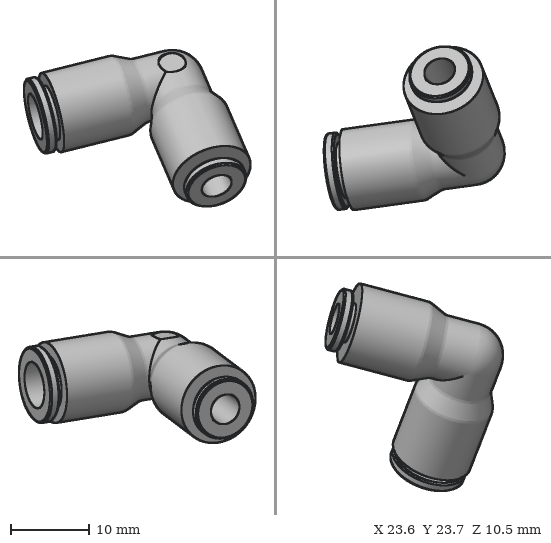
import cadquery as cq

overall_x = 23.58
overall_y = 23.7
body_radius = 10.5 / 2
elbow_radius = 4.17
flare_start = 4.48
flare_end = 6.92
flare_blend = 0.92
body_end = 16.28

x_collar_start = 17.02
x_collar_end = overall_x - body_radius
x_collar_radius = 4.05
x_stem_radius = 2.58
y_collar_start = 17.1
y_collar_end = overall_y - body_radius
y_collar_radius = 4.95
y_stem_radius = 3.6
collar_back_chamfer = 0.24
collar_front_chamfer = 0.21

passage_radius = 2.01
y_bore_radius = 3.0

recess_radius = 1.75
recess_floor = 3.72

x_axis_plane = cq.Plane(origin=(0, 0, 0), xDir=(0, 1, 0), normal=(1, 0, 0))
y_axis_plane = cq.Plane(origin=(0, 0, 0), xDir=(1, 0, 0), normal=(0, -1, 0))


def cylinder(plane, start, end, radius):
    """Cylinder along the plane normal between two distances from the elbow centre."""
    return cq.Workplane(plane).workplane(offset=start).circle(radius).extrude(end - start)


def arm_body(plane):
    """Neck, cone and body of one arm, with both ends of the cone rounded."""
    profile = (
        cq.Workplane("XZ")
        .polyline([
            (0, 0),
            (elbow_radius, 0),
            (elbow_radius, flare_start),
            (body_radius, flare_end),
            (body_radius, body_end),
            (0, body_end),
        ])
        .close()
    )
    arm = profile.revolve(360, (0, 0, 0), (0, 1, 0))
    cone_ends = cq.selectors.BoxSelector(
        (-body_radius, -body_radius, flare_start / 2),
        (body_radius, body_radius, (flare_end + body_end) / 2),
    )
    arm = arm.edges("%CIRCLE").edges(cone_ends).fillet(flare_blend)
    return cq.Workplane(arm.val().moved(cq.Location(plane)))


def collar(plane, start, end, radius, stem_radius):
    """Chamfered collar disc on a thinner stem."""
    stem = cylinder(plane, body_end, start, stem_radius)
    disc = (
        cq.Workplane("XZ")
        .moveTo(0, start)
        .lineTo(radius - collar_back_chamfer, start)
        .lineTo(radius, start + collar_back_chamfer)
        .lineTo(radius, end - collar_front_chamfer)
        .lineTo(radius - collar_front_chamfer, end)
        .lineTo(0, end)
        .close()
        .revolve(360, (0, 0, 0), (0, 1, 0))
    )
    return stem.union(cq.Workplane(disc.val().moved(cq.Location(plane))))


result = cq.Workplane("XY").sphere(elbow_radius)
result = result.union(arm_body(x_axis_plane)).union(arm_body(y_axis_plane))
result = result.union(
    collar(x_axis_plane, x_collar_start, x_collar_end, x_collar_radius, x_stem_radius)
)
result = result.union(
    collar(y_axis_plane, y_collar_start, y_collar_end, y_collar_radius, y_stem_radius)
)

result = result.cut(cq.Workplane("XY").sphere(passage_radius))
result = result.cut(cylinder(x_axis_plane, 0, x_collar_end, passage_radius))
result = result.cut(cylinder(y_axis_plane, 0, y_collar_end, y_bore_radius))

recess_depth = elbow_radius - recess_floor
recess = (
    cq.Workplane("XY").workplane(offset=recess_floor).circle(recess_radius).extrude(recess_depth)
)
result = result.cut(recess)